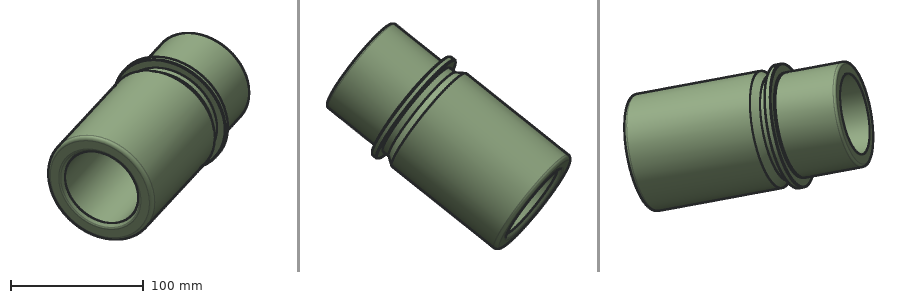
import cadquery as cq
import math

total_length = 170.0
spigot_length = 50.0
collar_width = 5.0
neck_length = 6.0
shoulder_length = 6.5

bore_radius = 31.0
spigot_radius = 40.5
body_radius = 45.0
collar_radius = 47.5

spigot_end_round = 2.0
body_end_round = 3.0
collar_chamfer = 0.5
relief_width = 1.2
relief_depth = 0.5

entry_chamfer = 3.0
entry_round = 2.0
entry_angle_deg = 45.0

spigot_end = total_length / 2
body_end = -total_length / 2
collar_back = spigot_end - spigot_length
collar_front = collar_back - collar_width
shoulder_start = collar_front - neck_length
shoulder_end = shoulder_start - shoulder_length


def revolve_about_y(profile):
    """Turn a closed X-Y half profile into a solid of revolution about Y."""
    return profile.close().revolve(360, (0, 0, 0), (0, 1, 0))


def make_blank():
    """Solid stepped body: spigot, relief groove, collar, neck, shoulder cone and main body."""
    relief_radius = spigot_radius - relief_depth
    relief_start = collar_back + relief_width
    spigot_face_radius = spigot_radius - spigot_end_round
    body_face_radius = body_radius - body_end_round
    profile = (
        cq.Workplane("XY")
        .moveTo(0, spigot_end)
        .lineTo(spigot_face_radius, spigot_end)
        .radiusArc((spigot_radius, spigot_end - spigot_end_round), spigot_end_round)
        .lineTo(spigot_radius, relief_start)
        .lineTo(relief_radius, relief_start)
        .lineTo(relief_radius, collar_back)
        .lineTo(collar_radius - collar_chamfer, collar_back)
        .lineTo(collar_radius, collar_back - collar_chamfer)
        .lineTo(collar_radius, collar_front + collar_chamfer)
        .lineTo(collar_radius - collar_chamfer, collar_front)
        .lineTo(spigot_radius, collar_front)
        .lineTo(spigot_radius, shoulder_start)
        .lineTo(body_radius, shoulder_end)
        .lineTo(body_radius, body_end + body_end_round)
        .radiusArc((body_face_radius, body_end), body_end_round)
        .lineTo(0, body_end)
    )
    return revolve_about_y(profile)


def make_bore():
    """Through bore with its chamfered, rounded entry at the body end."""
    chamfer_angle = math.radians(entry_angle_deg)
    tangent_length = entry_round * math.tan(chamfer_angle / 2)
    chamfer_edge_radius = bore_radius + entry_chamfer
    round_start = (chamfer_edge_radius + tangent_length, body_end)
    round_end = (
        chamfer_edge_radius - tangent_length * math.cos(chamfer_angle),
        body_end + tangent_length * math.sin(chamfer_angle),
    )
    profile = (
        cq.Workplane("XY")
        .moveTo(0, body_end)
        .lineTo(*round_start)
        .radiusArc(round_end, entry_round)
        .lineTo(bore_radius, body_end + entry_chamfer * math.tan(chamfer_angle))
        .lineTo(bore_radius, spigot_end)
        .lineTo(0, spigot_end)
    )
    return revolve_about_y(profile)


result = make_blank().cut(make_bore()).solids()